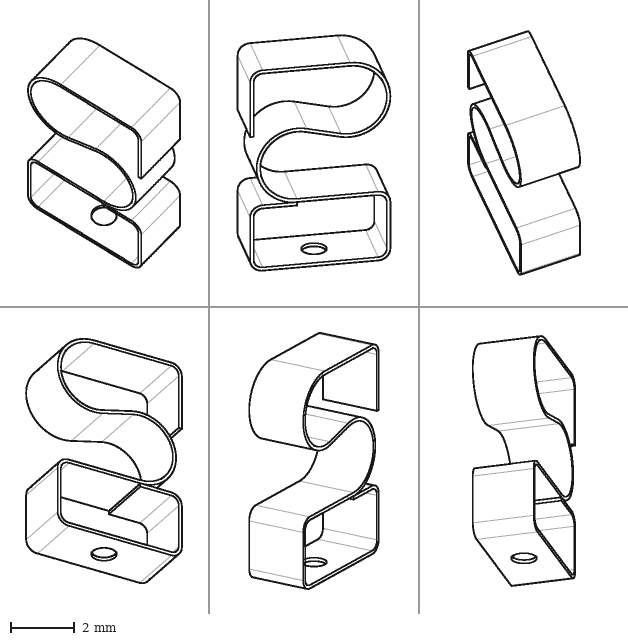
import cadquery as cq
import math

height = 7.0
length = 4.5
width = 2.0
thickness = 0.12
corner_radius = 0.4
upper_loop_radius = 1.3
lower_loop_radius = 1.29
shelf_top = 2.41
lower_loop_x = 3.0
tab_overlap = 0.01
free_end_z = 4.705
hole_diameter = 0.8

half = thickness / 2
left = half
right = length - half
bottom = half
top = height - half
shelf = shelf_top - half
tab = shelf - thickness
corner = corner_radius - half
upper_loop = upper_loop_radius - half
lower_loop = lower_loop_radius - half

left_bend_x = left + corner
right_bend_x = right - corner
upper_centre = (left + upper_loop, top - upper_loop)
lower_centre = (lower_loop_x, shelf + lower_loop)

run = lower_centre[0] - upper_centre[0]
rise = lower_centre[1] - upper_centre[1]
slope = math.degrees(
    math.atan2(rise, run) + math.asin((upper_loop + lower_loop) / math.hypot(run, rise))
)


def point_on(centre, radius, angle):
    """Point at an angle in degrees on a circle in the XZ plane."""
    turn = math.radians(angle)
    return (centre[0] + radius * math.cos(turn), centre[1] + radius * math.sin(turn))


def extrude_width(outline):
    """Give a closed XZ outline the full strip width."""
    return outline.close().extrude(-width)


def flat(start, end):
    """Straight strip between two points of the middle line."""
    normal = math.degrees(math.atan2(end[1] - start[1], end[0] - start[0])) + 90
    corners = [
        point_on(start, half, normal),
        point_on(end, half, normal),
        point_on(end, -half, normal),
        point_on(start, -half, normal),
    ]
    return extrude_width(cq.Workplane("XZ").polyline(corners))


def bend(centre, radius, start, end):
    """Curved strip around a centre, between two angles in degrees."""
    outer = radius + half
    inner = radius - half
    middle = (start + end) / 2
    return extrude_width(
        cq.Workplane("XZ")
        .moveTo(*point_on(centre, outer, start))
        .threePointArc(point_on(centre, outer, middle), point_on(centre, outer, end))
        .lineTo(*point_on(centre, inner, end))
        .threePointArc(point_on(centre, inner, middle), point_on(centre, inner, start))
    )


pieces = [
    flat((right, free_end_z), (right, top - corner)),
    bend((right_bend_x, top - corner), corner, 0, 90),
    flat((right_bend_x, top), (upper_centre[0], top)),
    bend(upper_centre, upper_loop, 90, 270 + slope),
    flat(
        point_on(upper_centre, upper_loop, 270 + slope),
        point_on(lower_centre, lower_loop, 90 + slope),
    ),
    bend(lower_centre, lower_loop, -90, 90 + slope),
    flat((lower_loop_x, shelf), (left_bend_x, shelf)),
    bend((left_bend_x, shelf - corner), corner, 90, 180),
    flat((left, shelf - corner), (left, bottom + corner)),
    bend((left_bend_x, bottom + corner), corner, 180, 270),
    flat((left_bend_x, bottom), (right_bend_x, bottom)),
    bend((right_bend_x, bottom + corner), corner, 270, 360),
    flat((right, bottom + corner), (right, tab - corner)),
    bend((right_bend_x, tab - corner), corner, 0, 90),
    flat((right_bend_x, tab), (lower_loop_x - tab_overlap, tab)),
]

strip = pieces[0]
for piece in pieces[1:]:
    strip = strip.union(piece)

hole = (
    cq.Workplane("XY")
    .center(length / 2, width / 2)
    .circle(hole_diameter / 2)
    .extrude(thickness)
)

result = strip.cut(hole)